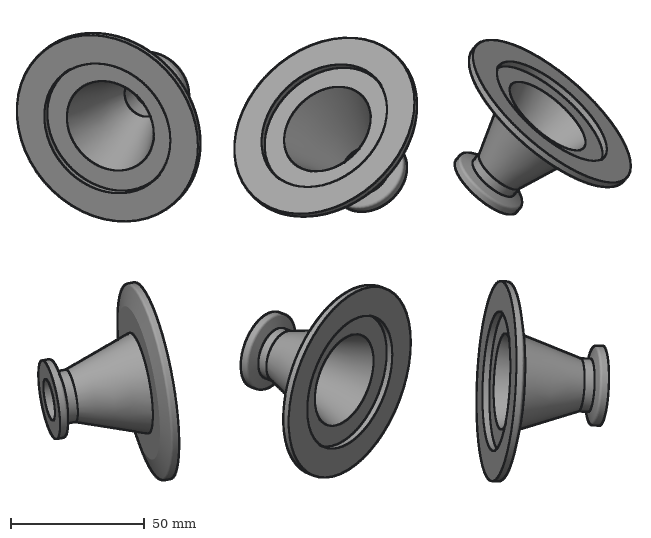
import cadquery as cq
import math

length = 40.0
wide_rim_radius = 37.5
narrow_rim_radius = 15.0
clamp_angle = math.radians(15)
rim_fillet = 1.0

wide_flange_thickness = 5.1
wide_clamp_inner_radius = 29.2
neck_radius = 10.01
neck_start = 31.65
neck_end = 35.5
cone_base_radius = 19.2

recess_radius = 26.1
recess_depth = 2.6
bore_wide_radius = 18.0
bore_narrow_radius = 7.9

y_front = -length / 2
y_back = length / 2
slope = math.tan(clamp_angle)
wide_rim_width = wide_flange_thickness - (wide_rim_radius - wide_clamp_inner_radius) * slope
narrow_clamp_start = neck_end + (narrow_rim_radius - neck_radius) * slope


def revolve_profile(points):
    """Revolve (radius, distance from the wide end) points about the Y axis."""
    profile = [(radius, y_front + distance) for radius, distance in points]
    return cq.Workplane("XY").polyline(profile).close().revolve(360, (0, 0), (0, 1))


def rim_edge(distance):
    """Select the circular rim edge at a given distance from the wide end."""
    y = y_front + distance
    margin = 0.04
    return cq.selectors.BoxSelector(
        (-margin, y - margin, -margin), (margin, y + margin, margin), boundingbox=False
    )


body = revolve_profile([
    (0, 0),
    (wide_rim_radius, 0),
    (wide_rim_radius, wide_rim_width),
    (wide_clamp_inner_radius, wide_flange_thickness),
    (cone_base_radius, wide_flange_thickness),
    (neck_radius, neck_start),
    (neck_radius, neck_end),
    (narrow_rim_radius, narrow_clamp_start),
    (narrow_rim_radius, length),
    (0, length),
])

for rim_distance in (wide_rim_width, narrow_clamp_start):
    body = body.edges(rim_edge(rim_distance)).fillet(rim_fillet)

passage = revolve_profile([
    (0, 0),
    (recess_radius, 0),
    (recess_radius, recess_depth),
    (bore_wide_radius, recess_depth),
    (bore_narrow_radius, neck_start),
    (bore_narrow_radius, length),
    (0, length),
])

result = body.cut(passage)